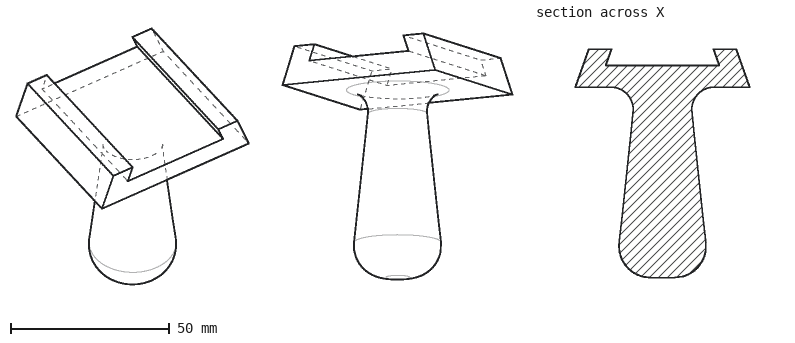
import cadquery as cq
import math

plate_length = 50.0
base_width = 55.0
plate_height = 12.1
dovetail_angle = math.radians(19.5)
groove_depth = 5.1
groove_floor_width = 35.6

total_height = 71.95
handle_length = total_height - plate_height
neck_radius = 9.35
neck_depth = 7.55
end_radius = 13.75
end_rounding_height = 11.15
end_depth = handle_length - end_rounding_height
cone_angle = math.atan((end_radius - neck_radius) / (end_depth - neck_depth))


def make_plate():
    """Plate with leaning flanks and an undercut groove, centred on X and Y."""
    base_half = base_width / 2
    top_half = base_half - plate_height * math.tan(dovetail_angle)
    floor_half = groove_floor_width / 2
    mouth_half = floor_half - groove_depth * math.tan(dovetail_angle)
    floor_z = plate_height - groove_depth
    return (
        cq.Workplane("YZ")
        .moveTo(-base_half, 0)
        .lineTo(base_half, 0)
        .lineTo(top_half, plate_height)
        .lineTo(mouth_half, plate_height)
        .lineTo(floor_half, floor_z)
        .lineTo(-floor_half, floor_z)
        .lineTo(-mouth_half, plate_height)
        .lineTo(-top_half, plate_height)
        .close()
        .extrude(plate_length / 2, both=True)
    )


def make_handle():
    """Revolved handle whose arcs are tangent to the cone and to its flat ends."""
    sin_cone = math.sin(cone_angle)
    cos_cone = math.cos(cone_angle)
    flare_radius = neck_depth / (1 + sin_cone)
    rounding_radius = end_rounding_height / (1 + sin_cone)

    half_turn = (math.pi / 2 + cone_angle) / 2
    flare_center_r = neck_radius + flare_radius * cos_cone
    flare_mid = (
        flare_center_r - flare_radius * math.sin(half_turn),
        -flare_radius + flare_radius * math.cos(half_turn),
    )
    rounding_center_r = end_radius - rounding_radius * cos_cone
    rounding_mid = (
        rounding_center_r + rounding_radius * math.sin(half_turn),
        -handle_length + rounding_radius - rounding_radius * math.cos(half_turn),
    )
    return (
        cq.Workplane("XZ")
        .moveTo(0, 0)
        .lineTo(flare_center_r, 0)
        .threePointArc(flare_mid, (neck_radius, -neck_depth))
        .lineTo(end_radius, -end_depth)
        .threePointArc(rounding_mid, (rounding_center_r, -handle_length))
        .lineTo(0, -handle_length)
        .close()
        .revolve(360, (0, 0, 0), (0, 1, 0))
    )


result = make_plate().union(make_handle())